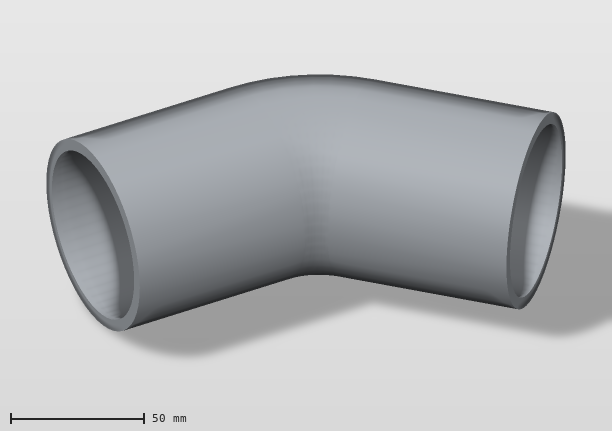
import cadquery as cq
import math

overall_length = 180.2
outer_diameter = 75.0
inner_diameter = 66.0
bend_radius = 48.3
bend_angle = 45.0

outer_radius = outer_diameter / 2
sin_bend = math.sin(math.radians(bend_angle))
cos_bend = math.cos(math.radians(bend_angle))
bend_length_y = (bend_radius + outer_radius) * sin_bend
leg_length = (overall_length - bend_length_y) / (1 + cos_bend)


def pipe_section(workplane):
    """Draw the ring-shaped pipe section on a workplane."""
    return workplane.circle(outer_diameter / 2).circle(inner_diameter / 2)


entry_plane = cq.Plane(origin=(0, 0, 0), xDir=(1, 0, 0), normal=(0, 1, 0))
exit_plane = cq.Plane(
    origin=(bend_radius * (1 - cos_bend), bend_radius * sin_bend, 0),
    xDir=(cos_bend, -sin_bend, 0),
    normal=(sin_bend, cos_bend, 0),
)

entry_leg = pipe_section(cq.Workplane(entry_plane)).extrude(-leg_length)
exit_leg = pipe_section(cq.Workplane(exit_plane)).extrude(leg_length)

bend = pipe_section(cq.Workplane(entry_plane)).revolve(
    bend_angle, (bend_radius, 0), (bend_radius, 1)
)

result = entry_leg.union(bend).union(exit_leg)